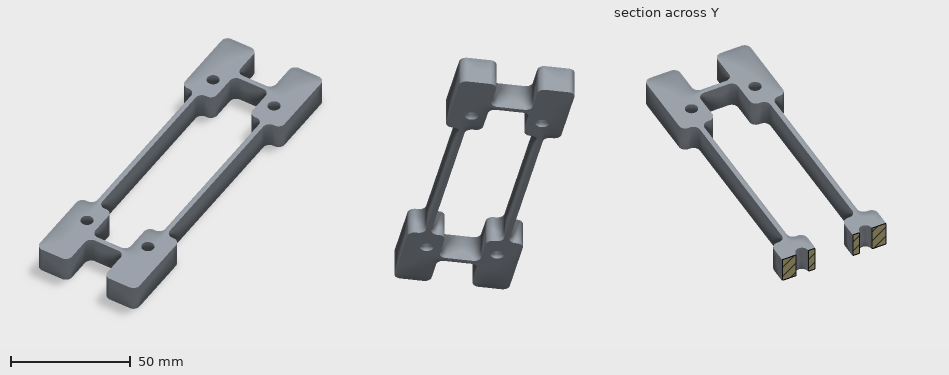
import cadquery as cq

width = 49.0
length = 150.0
height = 12.0

pad_width = 15.8
pad_length = 35.0
web_thickness = 2.2
edge_radius = 3.0

hole_diameter = 5.5
hole_spacing_x = 30.0
hole_spacing_y = 100.0

pad_spacing_x = width - pad_width
pad_spacing_y = length - pad_length


def corner_positions(spacing_x, spacing_y):
    """Four points on a rectangle centred on the origin."""
    return [(sx * spacing_x / 2, sy * spacing_y / 2) for sx in (-1, 1) for sy in (-1, 1)]


pads = (
    cq.Workplane("XY")
    .pushPoints(corner_positions(pad_spacing_x, pad_spacing_y))
    .rect(pad_width, pad_length)
    .extrude(height)
)

long_webs = (
    cq.Workplane("XY")
    .pushPoints([(side * pad_spacing_x / 2, 0) for side in (-1, 1)])
    .rect(web_thickness, pad_spacing_y)
    .extrude(height)
)
short_webs = (
    cq.Workplane("XY")
    .pushPoints([(0, end * pad_spacing_y / 2) for end in (-1, 1)])
    .rect(pad_spacing_x, web_thickness)
    .extrude(height)
)

frame = pads.union(long_webs).union(short_webs).edges("|Z").fillet(edge_radius)

holes = (
    cq.Workplane("XY")
    .pushPoints(corner_positions(hole_spacing_x, hole_spacing_y))
    .circle(hole_diameter / 2)
    .extrude(height)
)

result = frame.cut(holes)